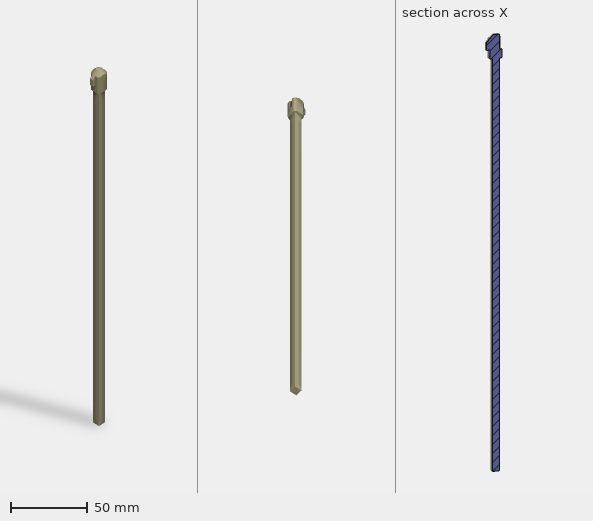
import cadquery as cq

total_height = 302.0
head_width = 8.6
overall_depth = 11.3

rod_side = 5.4

head_depth = 8.8
head_height = 17.0
chamfer_along_width = 1.2
chamfer_along_depth = 1.75
crown_top_diameter = 4.0

latch_width = 2.7
latch_bottom_drop = 10.6

notch_width = 2.7
notch_depth = 1.9
notch_height = latch_bottom_drop

head_bottom = total_height - head_height
half_width = head_width / 2
half_depth = head_depth / 2
latch_reach = overall_depth - head_depth


def make_rod():
    """Square rod running from the floor up to the head."""
    return cq.Workplane("XY").rect(rod_side, rod_side).extrude(head_bottom)


def make_head_block():
    """Upright block with four chamfered corners."""
    flat_x = half_width - chamfer_along_width
    flat_y = half_depth - chamfer_along_depth
    outline = [
        (flat_x, -half_depth),
        (half_width, -flat_y),
        (half_width, flat_y),
        (flat_x, half_depth),
        (-flat_x, half_depth),
        (-half_width, flat_y),
        (-half_width, -flat_y),
        (-flat_x, -half_depth),
    ]
    return cq.Workplane("XY", origin=(0, 0, head_bottom)).polyline(outline).close().extrude(head_height)


def make_latch_block():
    """Upright tongue from the middle of the head out past its front face."""
    latch_length = half_depth + latch_reach
    return (
        cq.Workplane("XY", origin=(0, -latch_length / 2, total_height - latch_bottom_drop))
        .rect(latch_width, latch_length)
        .extrude(latch_bottom_drop)
    )


def make_crown_envelope():
    """45 degree cone that gives the head and the latch one common slope."""
    top_radius = crown_top_diameter / 2
    bottom_radius = top_radius + head_height
    return (
        cq.Workplane("YZ")
        .moveTo(0, head_bottom)
        .lineTo(-bottom_radius, head_bottom)
        .lineTo(-top_radius, total_height)
        .lineTo(0, total_height)
        .close()
        .revolve(360, (0, 0, 0), (0, 1, 0))
    )


def make_notch():
    """Cutter for the open-topped notch in the back face."""
    return (
        cq.Workplane("XY", origin=(0, half_depth - notch_depth / 2, total_height - notch_height))
        .rect(notch_width, notch_depth)
        .extrude(notch_height)
    )


head = make_head_block().union(make_latch_block()).intersect(make_crown_envelope()).cut(make_notch())
result = make_rod().union(head)